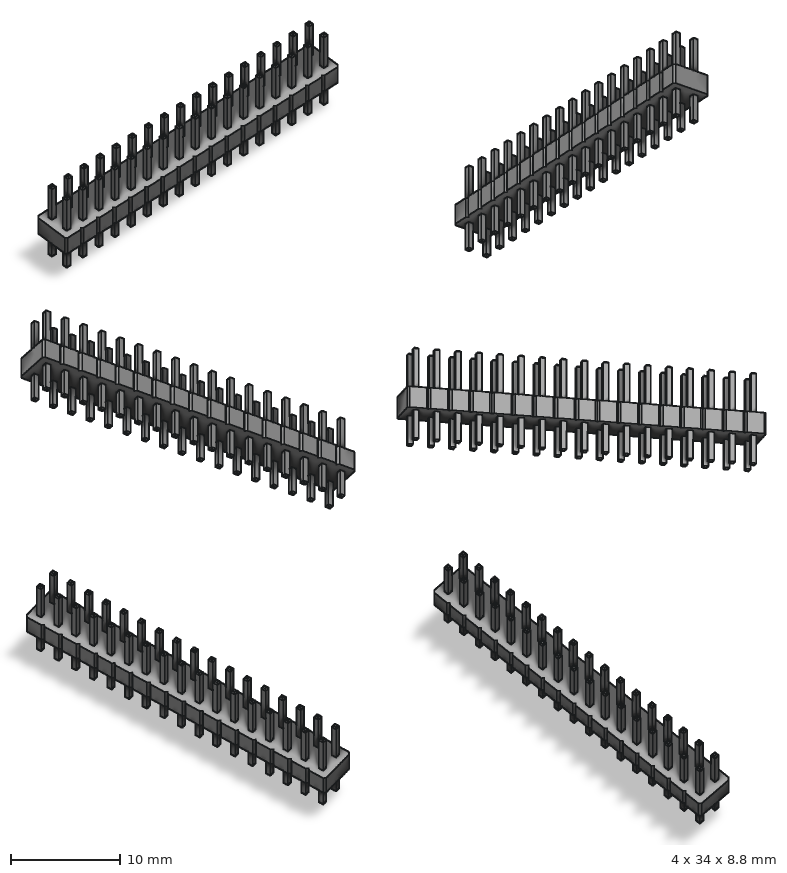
import cadquery as cq

length = 34.0
cells = 17
pin_rows = 2
pitch = length / cells

body_width = pin_rows * pitch
body_height = pitch
corner_chamfer = 0.2

pin_side = 0.5
pin_above = 2 * pitch
pin_below = 1.4 * pitch
pin_length = pin_below + body_height + pin_above
tip_chamfer = 0.15


def repeat(shape, columns, rows):
    """Copies of a shape on a centred grid, one pitch apart in X and Y."""
    grid = cq.Workplane("XY").rarray(pitch, pitch, columns, rows)
    return grid.eachpoint(lambda place: shape.val().moved(place))


def make_body():
    """Row of joined cells whose chamfered corners form V-grooves along both long sides."""
    cell = (
        cq.Workplane("XY")
        .box(body_width, pitch, body_height, centered=(True, True, False))
        .edges("|Z")
        .chamfer(corner_chamfer)
    )
    return repeat(cell, 1, cells).combine()


def make_pins():
    """Grid of identical pins, one for every row in every cell."""
    pin = (
        cq.Workplane("XY")
        .workplane(offset=-pin_below)
        .box(pin_side, pin_side, pin_length, centered=(True, True, False))
        .faces("<Z or >Z")
        .chamfer(tip_chamfer)
    )
    return repeat(pin, pin_rows, cells)


result = make_body().union(make_pins()).solids()